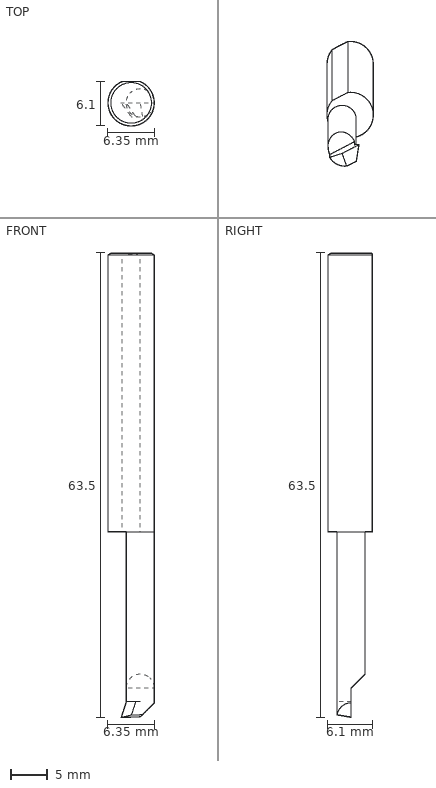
import cadquery as cq
import math


total_length = 63.49
shank_length = 38.1
shank_diameter = 6.35
shank_radius = shank_diameter / 2
flat_y = 2.925
chamfer_width = 0.4
chamfer_height = 0.3

neck_diameter = 3.86
neck_radius = neck_diameter / 2
neck_x = shank_radius - neck_radius
neck_top = total_length - shank_length

rake_height = 4.0
rake_ramp_angle = 45
head_height = 2.2
tip_x = -1.37
flank_lean_angle = 18
side_relief_angle = 34
end_relief_angle = 9
end_edge_angle = 1.6
nose_chamfer_start_x = neck_x
nose_chamfer_angle = 45

clearance = 1.0


def make_shank():
    """Round shank with a chamfered top end and one full-length flat on +Y."""
    shank = (
        cq.Workplane("XY")
        .workplane(offset=neck_top)
        .circle(shank_radius)
        .extrude(shank_length)
        .faces(">Z")
        .edges()
        .chamfer(chamfer_height, chamfer_width)
    )
    flat_cutter = (
        cq.Workplane("XY")
        .workplane(offset=neck_top)
        .center(0, flat_y + shank_radius / 2)
        .rect(shank_diameter, shank_radius)
        .extrude(shank_length)
    )
    return shank.cut(flat_cutter)


def make_neck():
    """Round neck from the shank to the end, leaving the head only its +X half."""
    neck = cq.Workplane("XY").center(neck_x, 0).circle(neck_radius).extrude(neck_top)
    half_cutter = (
        cq.Workplane("XY")
        .center(neck_x - neck_radius / 2, 0)
        .rect(neck_radius, neck_diameter)
        .extrude(head_height)
    )
    return neck.cut(half_cutter)


def head_section(height):
    """Outline of the -X half of the head at a height, with its straight relieved flank."""
    edge_x = tip_x + height * math.tan(math.radians(flank_lean_angle))
    flank_back_x = edge_x + neck_radius * math.tan(math.radians(side_relief_angle))
    corners = [
        cq.Vector(edge_x, 0, height),
        cq.Vector(flank_back_x, -neck_radius, height),
        cq.Vector(neck_x, -neck_radius, height),
        cq.Vector(neck_x, 0, height),
    ]
    return cq.Wire.makePolygon(corners, close=True)


def make_head():
    """-X half of the head, whose flank leans out towards the cutting point."""
    sections = [head_section(0), head_section(head_height)]
    return cq.Workplane(cq.Solid.makeLoft(sections, True))


def cut_rake_face(body):
    """Remove the +Y half of the tip up to a ramp that runs out through the neck."""
    ramp_depth = neck_radius + clearance
    ramp_rise = ramp_depth * math.tan(math.radians(rake_ramp_angle))
    cutter = (
        cq.Workplane("YZ")
        .moveTo(0, -clearance)
        .lineTo(ramp_depth, -clearance)
        .lineTo(ramp_depth, rake_height + ramp_rise)
        .lineTo(0, rake_height)
        .close()
        .extrude(shank_radius, both=True)
    )
    return body.cut(cutter)


def cut_end_relief(body):
    """Tilt the end face up from the cutting point, towards +X and towards -Y."""
    side = 2 * shank_diameter
    cutter = (
        cq.Workplane("XY")
        .rect(side, side)
        .extrude(-shank_diameter)
        .rotate((0, 0, 0), (1, 0, 0), -end_relief_angle)
        .rotate((0, 0, 0), (0, 1, 0), -end_edge_angle)
        .translate((tip_x, 0, 0))
    )
    return body.cut(cutter)


def cut_nose_chamfer(body):
    """Bevel the +X corner of the end so that the head clears the bore."""
    reach = shank_radius + clearance - nose_chamfer_start_x
    rise = reach * math.tan(math.radians(nose_chamfer_angle))
    start_z = (nose_chamfer_start_x - tip_x) * math.tan(math.radians(end_edge_angle))
    cutter = (
        cq.Workplane("XZ")
        .moveTo(nose_chamfer_start_x, start_z)
        .lineTo(nose_chamfer_start_x + reach, start_z + rise)
        .lineTo(nose_chamfer_start_x + reach, start_z)
        .close()
        .extrude(shank_radius, both=True)
    )
    return body.cut(cutter)


body = make_shank().union(make_neck()).union(make_head())
body = cut_rake_face(body)
body = cut_end_relief(body)
result = cut_nose_chamfer(body)